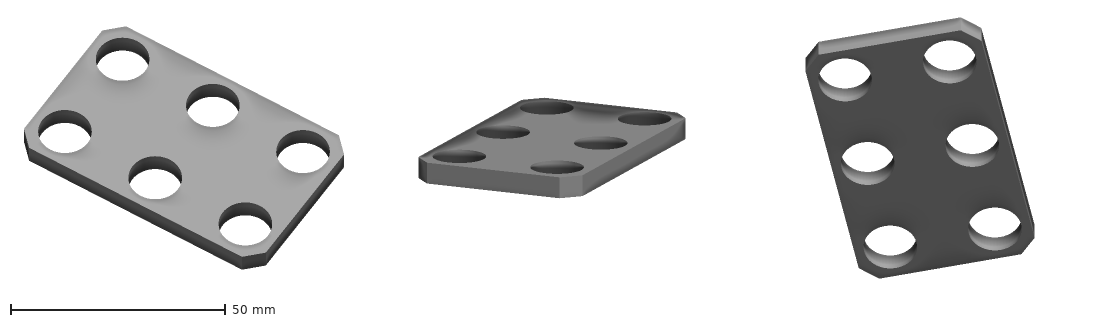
import cadquery as cq

length = 67.0
width = 42.0
thickness = 5.0
corner_chamfer = 4.0

hole_diameter = 12.5
hole_pitch = 25.0
hole_columns = 3
hole_rows = 2

plate = cq.Workplane("XY").box(length, width, thickness)
plate = plate.edges("|Z").chamfer(corner_chamfer)

result = (
    plate.faces(">Z")
    .workplane()
    .rarray(hole_pitch, hole_pitch, hole_columns, hole_rows)
    .hole(hole_diameter)
)